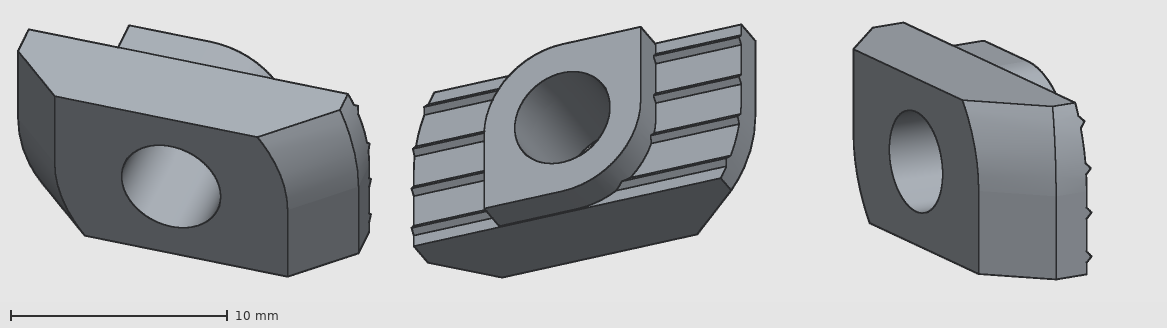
import cadquery as cq
import math

length = 16.5
height = 8.0
body_depth = 4.25
straight_depth = 1.65
boss_radius = 3.95
boss_height = 1.75
hole_diameter = 4.8
ridge_height = 0.26
ridge_pitch = 2.11
ridge_count = 4

end_radius = length / 2
half_height = height / 2


def turning_outline(plane, radius, half_width):
    """Outline with square corners at two opposite corners and arcs at the others."""
    arc_end = math.sqrt(radius**2 - half_width**2)
    mid_angle = math.asin(half_width / radius) / 2
    mid_x = radius * math.cos(mid_angle)
    mid_z = radius * math.sin(mid_angle)
    return (
        cq.Workplane(plane)
        .moveTo(-radius, half_width)
        .lineTo(-radius, 0)
        .threePointArc((-mid_x, -mid_z), (-arc_end, -half_width))
        .lineTo(radius, -half_width)
        .lineTo(radius, 0)
        .threePointArc((mid_x, mid_z), (arc_end, half_width))
        .close()
    )


def body_prism(back_y):
    """Nut outline from the front face to back_y."""
    front = cq.Plane(origin=(0, -body_depth, 0), xDir=(1, 0, 0), normal=(0, -1, 0))
    return turning_outline(front, end_radius, half_height).extrude(-(body_depth + back_y))


def bevel_envelope():
    """Rounded bar running at 45 degrees; its -X flank is the bevel of the -X end."""
    shift = end_radius / math.sqrt(2)
    slanted = cq.Plane(
        origin=(-end_radius + shift, -straight_depth + shift, 0),
        xDir=(1, 1, 0),
        normal=(1, -1, 0),
    )
    return turning_outline(slanted, end_radius, half_height).extrude(length, both=True)


def ridges():
    """V-shaped ridges along X on the seating face, rooted slightly inside the body."""
    root = ridge_height
    half_base = ridge_height + root
    lowest_z = -(ridge_count - 1) / 2 * ridge_pitch
    ridge_set = cq.Workplane("YZ")
    for index in range(ridge_count):
        z = lowest_z + index * ridge_pitch
        ridge = (
            cq.Workplane("YZ")
            .polyline([(-root, z - half_base), (ridge_height, z), (-root, z + half_base)])
            .close()
            .extrude(end_radius, both=True)
        )
        ridge_set = ridge_set.add(ridge)
    return ridge_set.combine()


body = body_prism(0)

envelope = bevel_envelope()
body = body.intersect(envelope)
body = body.intersect(envelope.rotate((0, 0, 0), (0, 1, 0), 180))

body = body.union(ridges().intersect(body_prism(ridge_height)))

boss = turning_outline("XZ", boss_radius, boss_radius).extrude(-boss_height)
body = body.union(boss)

hole = cq.Workplane("XZ").circle(hole_diameter / 2).extrude(length, both=True)
result = body.cut(hole)